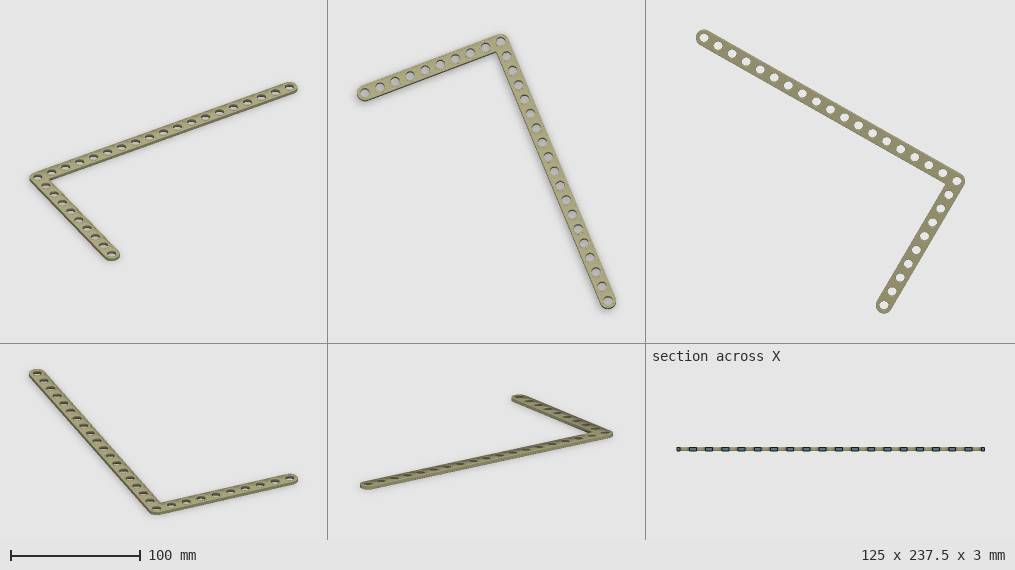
import cadquery as cq
import math

total_length = 237.5
long_arm_holes = 19
short_arm_holes = 10
thickness = 3.0
hole_diameter = 7.0
hole_rim_diameter = 9.3
border_width = 1.1
recess_depth = 0.21
edge_chamfer = 0.3

pitch = total_length / long_arm_holes
bar_half_width = pitch / 2
long_reach = (long_arm_holes - 1) * pitch
short_reach = (short_arm_holes - 1) * pitch


def hole_centres():
    """Corner hole at the origin, then one row along +Y and one along +X."""
    long_row = [(0, i * pitch) for i in range(long_arm_holes)]
    short_row = [(i * pitch, 0) for i in range(1, short_arm_holes)]
    return long_row + short_row


def cylinders(diameter, height):
    """Upright cylinders on every hole centre."""
    return cq.Workplane("XY").pushPoints(hole_centres()).circle(diameter / 2).extrude(height)


def angle_plate(half_width, height):
    """L-shaped plate with rounded ends, a rounded outer corner and a sharp inner corner."""
    corner_mid = half_width / math.sqrt(2)
    return (
        cq.Workplane("XY")
        .moveTo(0, -half_width)
        .lineTo(short_reach, -half_width)
        .threePointArc((short_reach + half_width, 0), (short_reach, half_width))
        .lineTo(half_width, half_width)
        .lineTo(half_width, long_reach)
        .threePointArc((0, long_reach + half_width), (-half_width, long_reach))
        .lineTo(-half_width, 0)
        .threePointArc((-corner_mid, -corner_mid), (0, -half_width))
        .close()
        .extrude(height)
    )


def drilled_plate():
    """Plate with all its holes, chamfered along every top and bottom edge."""
    plate = angle_plate(bar_half_width, thickness).cut(cylinders(hole_diameter, thickness))
    return plate.faces("<Z or >Z").edges().chamfer(edge_chamfer)


def top_recess():
    """Shallow pocket in the top face that leaves a raised border and a rim around every hole."""
    pocket = angle_plate(bar_half_width - border_width, recess_depth)
    pocket = pocket.cut(cylinders(hole_rim_diameter, recess_depth))
    return pocket.translate((0, 0, thickness - recess_depth))


result = drilled_plate().cut(top_recess())